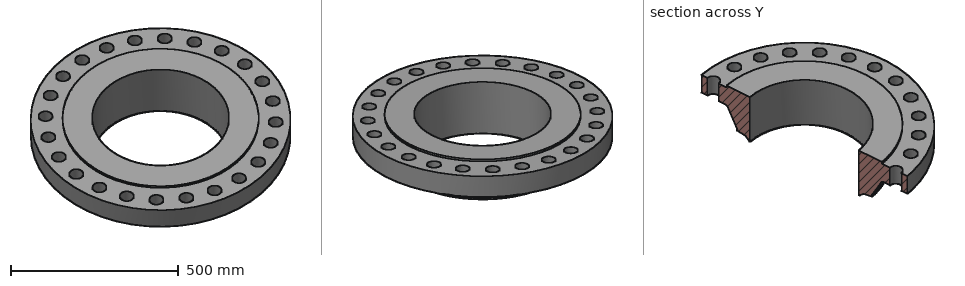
import cadquery as cq
import math

flange_diameter = 775.0
total_height = 174.0
bore_diameter = 408.0

face_diameter = 585.0
face_height = 7.0
flange_thickness = 70.0

hub_top_diameter = 585.0
hub_bottom_diameter = 507.5
hub_root_fillet = 10.0
cylinder_top_z = 25.0
cylinder_bottom_z = 18.5
bevel_top_z = 14.0
bevel_top_diameter = 445.0
bevel_bottom_diameter = 415.0

bolt_count = 24
bolt_circle_diameter = 686.0
bolt_hole_diameter = 42.0

flange_top_z = total_height - face_height
flange_bottom_z = flange_top_z - flange_thickness


def make_body():
    """Revolve the half section, bore included, about the Z axis."""
    section = (
        cq.Workplane("XZ")
        .moveTo(bore_diameter / 2, 0)
        .lineTo(bevel_bottom_diameter / 2, 0)
        .lineTo(bevel_top_diameter / 2, bevel_top_z)
        .lineTo(hub_bottom_diameter / 2, cylinder_bottom_z)
        .lineTo(hub_bottom_diameter / 2, cylinder_top_z)
        .lineTo(hub_top_diameter / 2, flange_bottom_z)
        .lineTo(flange_diameter / 2, flange_bottom_z)
        .lineTo(flange_diameter / 2, flange_top_z)
        .lineTo(face_diameter / 2, flange_top_z)
        .lineTo(face_diameter / 2, total_height)
        .lineTo(bore_diameter / 2, total_height)
        .close()
    )
    return section.revolve(360, (0, 0, 0), (0, 1, 0))


def round_hub_root(body):
    """Fillet the circular corner where the hub cone meets the flange."""
    root_edges = body.edges("%CIRCLE").filter(
        lambda edge: math.isclose(edge.radius(), hub_top_diameter / 2)
        and math.isclose(edge.Center().z, flange_bottom_z)
    )
    return root_edges.fillet(hub_root_fillet)


def make_bolt_holes():
    """Cutters for the evenly spaced through holes in the flange."""
    return (
        cq.Workplane("XY")
        .workplane(offset=flange_bottom_z)
        .polarArray(bolt_circle_diameter / 2, 0, 360, bolt_count)
        .circle(bolt_hole_diameter / 2)
        .extrude(flange_thickness)
    )


result = round_hub_root(make_body()).cut(make_bolt_holes())